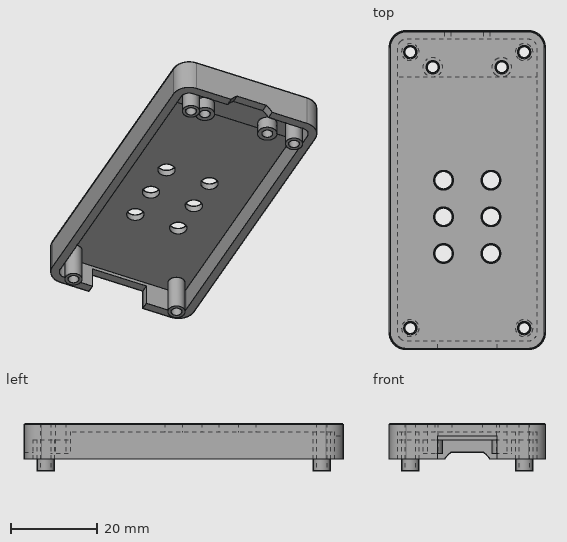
import cadquery as cq
import math

width = 36.3
length = 74.0
cover_height = 8.3
peg_drop = 2.7
corner_radius = 4.0
wall = 2.0
roof = 2.0
edge_chamfer = 0.3

screw_diameter = 2.5
hole_chamfer = 0.3
peg_diameter = 4.0
peg_x = 13.2
peg_y = 32.0

post_diameter = 4.5
post_x = 8.0
post_y = 28.5
post_bottom = 1.35
pad_bottom = 4.5

button_diameter = 4.0
button_chamfer = 0.3
button_pitch_x = 11.0
button_pitch_y = 8.5
button_rows = 3
button_centre_y = -6.2

port_width = 13.8
port_height = 5.4

notch_radius = 6.25
notch_centre_z = -3.4
notch_top = 1.6

ceiling = cover_height - roof
inner_width = width - 2 * wall
inner_length = length - 2 * wall
inner_radius = corner_radius - wall
total_height = cover_height + peg_drop

peg_points = [(sx * peg_x, sy * peg_y) for sx in (-1, 1) for sy in (-1, 1)]
post_points = [(-post_x, post_y), (post_x, post_y)]
button_points = [
    (side * button_pitch_x / 2, button_centre_y + (row - (button_rows - 1) / 2) * button_pitch_y)
    for side in (-1, 1)
    for row in range(button_rows)
]


def make_cavity():
    """Rounded hollow below the roof, open at the bottom."""
    cavity = cq.Workplane("XY").rect(inner_width, inner_length).extrude(ceiling)
    return cavity.edges("|Z").fillet(inner_radius)


def make_shell():
    """Rounded box with a chamfered top edge, hollowed from below."""
    block = cq.Workplane("XY").rect(width, length).extrude(cover_height)
    block = block.edges("|Z").fillet(corner_radius)
    block = block.faces(">Z").chamfer(edge_chamfer)
    return block.cut(make_cavity())


def make_pad():
    """Thickened roof at the +Y end, starting level with the front of the posts."""
    pad_front = post_y - post_diameter / 2
    pad_length = inner_length / 2 - pad_front
    pad = (
        cq.Workplane("XY", origin=(0, pad_front + pad_length / 2, pad_bottom))
        .rect(inner_width, pad_length)
        .extrude(ceiling - pad_bottom)
    )
    return pad.intersect(make_cavity())


def make_rods(points, diameter, bottom):
    """Round rods from the given height up into the middle of the roof."""
    rod_top = ceiling + roof / 2
    return (
        cq.Workplane("XY", origin=(0, 0, bottom))
        .pushPoints(points)
        .circle(diameter / 2)
        .extrude(rod_top - bottom)
    )


def make_holes(points, diameter, chamfer):
    """Full-height hole cutters with a 45 degree flare at the top face."""
    bores = (
        cq.Workplane("XY", origin=(0, 0, -peg_drop))
        .pushPoints(points)
        .circle(diameter / 2)
        .extrude(total_height)
    )
    flares = (
        cq.Workplane("XY", origin=(0, 0, cover_height))
        .pushPoints(points)
        .circle(diameter / 2 + chamfer)
        .extrude(-chamfer, taper=45)
    )
    return bores.union(flares)


def make_port():
    """Rectangular opening through the -Y wall."""
    return (
        cq.Workplane("XY", origin=(0, -length / 2 + wall / 2, 0))
        .rect(port_width, wall)
        .extrude(port_height)
    )


def make_notch():
    """Flat-topped round notch through the +Y wall."""
    half_bottom = math.sqrt(notch_radius**2 - notch_centre_z**2)
    half_top = math.sqrt(notch_radius**2 - (notch_top - notch_centre_z) ** 2)
    mid_z = notch_top / 2
    half_mid = math.sqrt(notch_radius**2 - (mid_z - notch_centre_z) ** 2)
    return (
        cq.Workplane("XZ", origin=(0, length / 2, 0))
        .moveTo(-half_bottom, 0)
        .threePointArc((-half_mid, mid_z), (-half_top, notch_top))
        .lineTo(half_top, notch_top)
        .threePointArc((half_mid, mid_z), (half_bottom, 0))
        .close()
        .extrude(wall)
    )


cover = make_shell().union(make_pad())
cover = cover.union(make_rods(peg_points, peg_diameter, -peg_drop))
cover = cover.union(make_rods(post_points, post_diameter, post_bottom))
cover = cover.cut(make_port()).cut(make_notch())
cover = cover.cut(make_holes(peg_points + post_points, screw_diameter, hole_chamfer))
result = cover.cut(make_holes(button_points, button_diameter, button_chamfer))